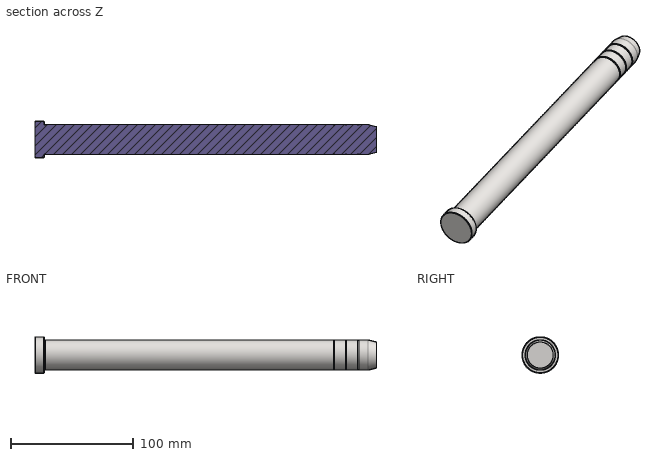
import cadquery as cq

total_length = 280.0
head_diameter = 30.0
head_length = 7.8
head_chamfer = 0.5

shank_diameter = 25.0
relief_width = 1.0

nose_length = 7.0
nose_tip_diameter = 21.3

groove_count = 3
groove_width = 1.0
groove_depth = 0.5
first_groove_to_tip = 35.0
last_groove_to_tip = 15.0

shank_radius = shank_diameter / 2
nose_start = total_length - nose_length
groove_pitch = (first_groove_to_tip - last_groove_to_tip) / (groove_count - 1)


def turn(profile):
    """Revolve a closed XZ profile around the X axis."""
    return profile.close().revolve(360, (0, 0, 0), (1, 0, 0))


def make_pin_blank():
    """Head, shank and tapered nose as one turned solid."""
    head_radius = head_diameter / 2
    rim_radius = head_radius - head_chamfer
    profile = (
        cq.Workplane("XZ")
        .lineTo(0, rim_radius)
        .lineTo(head_chamfer, head_radius)
        .lineTo(head_length - head_chamfer, head_radius)
        .lineTo(head_length, rim_radius)
        .lineTo(head_length, shank_radius)
        .lineTo(nose_start, shank_radius)
        .lineTo(total_length, nose_tip_diameter / 2)
        .lineTo(total_length, 0)
    )
    return turn(profile)


def make_groove(start, width):
    """Round-bottomed ring to cut from the shank, running along +X from X = start."""
    profile = (
        cq.Workplane("XZ")
        .moveTo(start, shank_radius)
        .threePointArc(
            (start + width / 2, shank_radius - groove_depth),
            (start + width, shank_radius),
        )
    )
    return turn(profile)


result = make_pin_blank()
result = result.cut(make_groove(head_length, relief_width))

first_groove_start = total_length - first_groove_to_tip - groove_width / 2
for index in range(groove_count):
    groove_start = first_groove_start + index * groove_pitch
    result = result.cut(make_groove(groove_start, groove_width))